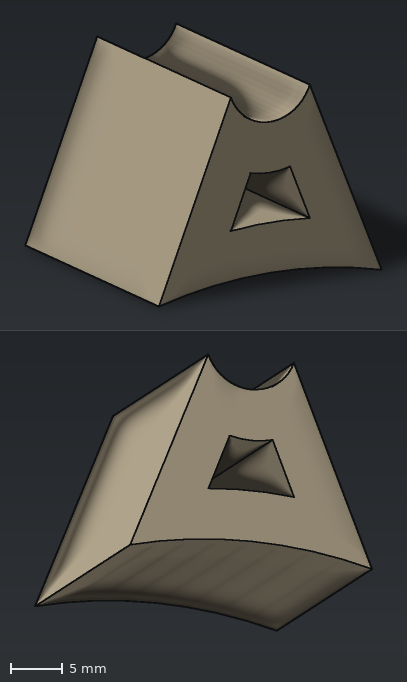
import cadquery as cq

length = 25.4
base_width = 25.4
height = 20.05

top_width = 9.0
cradle_depth = 3.12
base_arch_rise = 1.57

window_top_width = 4.5
window_bottom_width = 9.0
window_top_z = 12.05
window_bottom_z = 6.48
window_top_sag = 0.28
window_bottom_rise = 0.23


def curved_trapezoid(bottom_width, bottom_z, bottom_rise, upper_width, upper_z, upper_sag):
    """Extrude a trapezoid whose bottom edge bows up and top edge bows down."""
    return (
        cq.Workplane("YZ")
        .workplane(offset=-length / 2)
        .moveTo(-bottom_width / 2, bottom_z)
        .threePointArc((0, bottom_z + bottom_rise), (bottom_width / 2, bottom_z))
        .lineTo(upper_width / 2, upper_z)
        .threePointArc((0, upper_z - upper_sag), (-upper_width / 2, upper_z))
        .close()
        .extrude(length)
    )


body = curved_trapezoid(base_width, 0, base_arch_rise, top_width, height, cradle_depth)
window = curved_trapezoid(
    window_bottom_width,
    window_bottom_z,
    window_bottom_rise,
    window_top_width,
    window_top_z,
    window_top_sag,
)

result = body.cut(window)